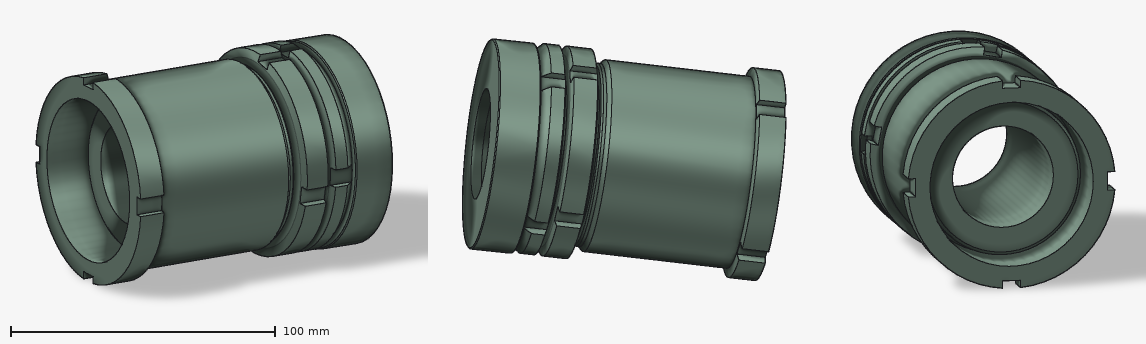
import cadquery as cq
import math


RIM_RADIUS = 40.0
RIM_BEVEL_HEIGHT = 0.9

NOTCH_COUNT = 4
NOTCH_WIDTH = 7.0
NOTCH_DEPTH = 3.0
NUT_NOTCH_TURN = 11.0
SCREW_NOTCH_TURN = 2.3

SLEEVE_BOTTOM = -55.2
SLEEVE_LENGTH = 70.0
FLANGE_THICKNESS = 11.0
SLEEVE_RADIUS = 36.5
SLEEVE_BORE_RADIUS = 31.5
SLEEVE_BORE_DEPTH = 30.0
SLEEVE_TIP_RADIUS = 34.9
SLEEVE_TIP_LENGTH = 2.0
SLEEVE_TIP_CHAMFER = 0.8
SLEEVE_SHOULDER_CHAMFER = SLEEVE_RADIUS - SLEEVE_TIP_RADIUS

THREAD_RADIUS = 30.1
THREAD_END_CHAMFER = 1.2
SCREW_BOTTOM = -38.6
SCREW_BORE_RADIUS = 19.4
NECK_RADIUS = 28.4
NECK_BOTTOM = 22.1
HEAD_BOTTOM = 28.9
HEAD_RIM_TOP = 35.0
DOME_RADIUS = 50.0

NUT_BOTTOM = 16.4
NUT_THICKNESS = 10.8

SEAT_BORE_RADIUS = 21.0
SEAT_THICKNESS = 16.1
SEAT_TOP = 54.7
SEAT_CHAMFER = 0.4
SEAT_TILT_X = -0.52
SEAT_TILT_Z = -0.33

SLEEVE_TOP = SLEEVE_BOTTOM + SLEEVE_LENGTH
SLEEVE_BORE_END = SLEEVE_BOTTOM + SLEEVE_BORE_DEPTH
FLANGE_TOP = SLEEVE_BOTTOM + FLANGE_THICKNESS
NUT_TOP = NUT_BOTTOM + NUT_THICKNESS
SEAT_BOTTOM = SEAT_TOP - SEAT_THICKNESS
BEVEL_INNER_RADIUS = SLEEVE_RADIUS
DOME_CENTER = HEAD_RIM_TOP - math.sqrt(DOME_RADIUS**2 - RIM_RADIUS**2)


def dome_y(radius):
    """Y of the dome surface at a distance from the axis."""
    return DOME_CENTER + math.sqrt(DOME_RADIUS**2 - radius**2)


def dome_radius_at(y):
    """Distance of the dome surface from the axis at a given Y."""
    return math.sqrt(DOME_RADIUS**2 - (y - DOME_CENTER) ** 2)


def dome_point_between(radius_a, radius_b):
    """Point of the dome outline midway between two radii."""
    radius = (radius_a + radius_b) / 2
    return radius, dome_y(radius)


def revolve_about_y(profile):
    return profile.close().revolve(360, (0, 0, 0), (0, 1, 0))


def rim_notches(bottom, top, turn):
    """Notch cutters around a rim, turned from +Z toward +X by an angle in degrees."""
    reach = 2 * NOTCH_DEPTH
    center_radius = RIM_RADIUS - NOTCH_DEPTH + reach / 2
    cutters = cq.Workplane("XY")
    for index in range(NOTCH_COUNT):
        cutter = (
            cq.Workplane("XY")
            .box(NOTCH_WIDTH, top - bottom, reach)
            .translate((0, (bottom + top) / 2, center_radius))
            .rotate((0, 0, 0), (0, 1, 0), turn + index * 360 / NOTCH_COUNT)
        )
        cutters = cutters.add(cutter)
    return cutters.combine()


def make_sleeve():
    profile = cq.Workplane("XY").polyline([
        (SLEEVE_BORE_RADIUS, SLEEVE_BOTTOM),
        (RIM_RADIUS, SLEEVE_BOTTOM),
        (RIM_RADIUS, FLANGE_TOP - RIM_BEVEL_HEIGHT),
        (SLEEVE_RADIUS, FLANGE_TOP),
        (SLEEVE_RADIUS, SLEEVE_TOP - SLEEVE_TIP_LENGTH - SLEEVE_SHOULDER_CHAMFER),
        (SLEEVE_TIP_RADIUS, SLEEVE_TOP - SLEEVE_TIP_LENGTH),
        (SLEEVE_TIP_RADIUS, SLEEVE_TOP - SLEEVE_TIP_CHAMFER),
        (SLEEVE_TIP_RADIUS - SLEEVE_TIP_CHAMFER, SLEEVE_TOP),
        (THREAD_RADIUS, SLEEVE_TOP),
        (THREAD_RADIUS, SLEEVE_BORE_END),
        (SLEEVE_BORE_RADIUS, SLEEVE_BORE_END),
    ])
    return revolve_about_y(profile).cut(rim_notches(SLEEVE_BOTTOM, FLANGE_TOP, 0))


def make_screw():
    profile = (
        cq.Workplane("XY")
        .polyline([
            (SCREW_BORE_RADIUS, SCREW_BOTTOM),
            (THREAD_RADIUS - THREAD_END_CHAMFER, SCREW_BOTTOM),
            (THREAD_RADIUS, SCREW_BOTTOM + THREAD_END_CHAMFER),
            (THREAD_RADIUS, NECK_BOTTOM),
            (NECK_RADIUS, NECK_BOTTOM),
            (NECK_RADIUS, HEAD_BOTTOM),
            (BEVEL_INNER_RADIUS, HEAD_BOTTOM),
            (RIM_RADIUS, HEAD_BOTTOM + RIM_BEVEL_HEIGHT),
            (RIM_RADIUS, HEAD_RIM_TOP),
        ])
        .threePointArc(
            dome_point_between(RIM_RADIUS, SCREW_BORE_RADIUS),
            (SCREW_BORE_RADIUS, dome_y(SCREW_BORE_RADIUS)),
        )
    )
    head_top = dome_y(SCREW_BORE_RADIUS)
    return revolve_about_y(profile).cut(rim_notches(HEAD_BOTTOM, head_top, SCREW_NOTCH_TURN))


def make_lock_nut():
    profile = cq.Workplane("XY").polyline([
        (THREAD_RADIUS, NUT_BOTTOM),
        (BEVEL_INNER_RADIUS, NUT_BOTTOM),
        (RIM_RADIUS, NUT_BOTTOM + RIM_BEVEL_HEIGHT),
        (RIM_RADIUS, NUT_TOP - RIM_BEVEL_HEIGHT),
        (BEVEL_INNER_RADIUS, NUT_TOP),
        (THREAD_RADIUS, NUT_TOP),
    ])
    return revolve_about_y(profile).cut(rim_notches(NUT_BOTTOM, NUT_TOP, NUT_NOTCH_TURN))


def make_seat_ring():
    """Ring with a concave seat on the dome, tilted about the dome center."""
    seat_edge_radius = dome_radius_at(SEAT_BOTTOM)
    profile = (
        cq.Workplane("XY")
        .polyline([
            (SEAT_BORE_RADIUS, dome_y(SEAT_BORE_RADIUS)),
            (SEAT_BORE_RADIUS, SEAT_TOP),
            (RIM_RADIUS - SEAT_CHAMFER, SEAT_TOP),
            (RIM_RADIUS, SEAT_TOP - SEAT_CHAMFER),
            (RIM_RADIUS, SEAT_BOTTOM + SEAT_CHAMFER),
            (RIM_RADIUS - SEAT_CHAMFER, SEAT_BOTTOM),
            (seat_edge_radius, SEAT_BOTTOM),
        ])
        .threePointArc(
            dome_point_between(seat_edge_radius, SEAT_BORE_RADIUS),
            (SEAT_BORE_RADIUS, dome_y(SEAT_BORE_RADIUS)),
        )
    )
    pivot = (0, DOME_CENTER, 0)
    return (
        revolve_about_y(profile)
        .rotate(pivot, (1, DOME_CENTER, 0), SEAT_TILT_X)
        .rotate(pivot, (0, DOME_CENTER, 1), SEAT_TILT_Z)
    )


sleeve = make_sleeve()
screw = make_screw()
lock_nut = make_lock_nut()
seat_ring = make_seat_ring()

result = cq.Compound.makeCompound([
    sleeve.solids().val(),
    screw.solids().val(),
    lock_nut.solids().val(),
    seat_ring.solids().val(),
])